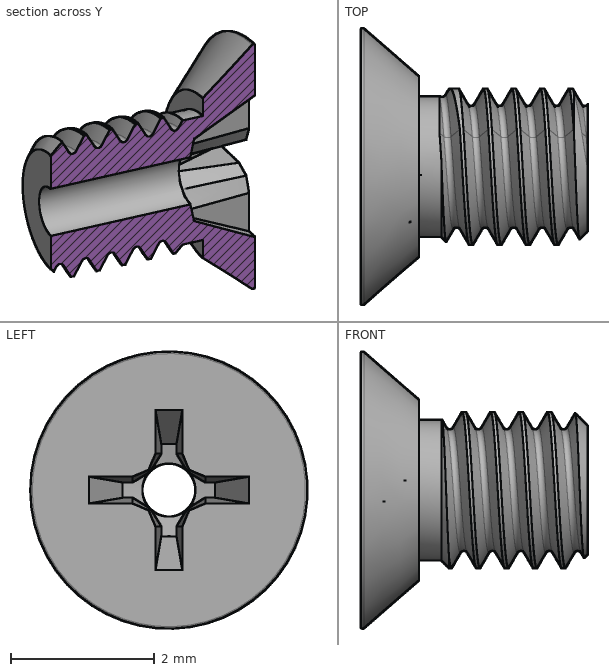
import cadquery as cq
import math


INCH = 25.4

overall_length = 3.17
bore_radius = 0.368

head_radius = 1.935
head_height = 0.815
head_cone_angle = math.radians(82 / 2)
rim_fillet = 0.03

neck_radius = 0.983
thread_start = 1.125
thread_diameter = 0.086 * INCH
thread_radius = thread_diameter / 2
end_face_radius = 0.898

threads_per_inch = 64
pitch = INCH / threads_per_inch
sharp_height = pitch * math.sqrt(3) / 2
groove_width = pitch * 7 / 8
root_round = sharp_height / 6
flank_half_angle = math.radians(30)
groove_overshoot = 0.04

helix_start_x = 1.211
helix_start_angle = math.radians(61.5)
lead_in_turn = 0.4
lead_in_rise_per_turn = 0.70

recess_depth = 0.944
face_arm_reach = 1.1146
face_arm_half_width = 0.187
face_corner = 0.282
floor_arm_reach = 0.6435
floor_arm_half_width = 0.106
floor_corner = 0.26
arm_root_reach = 0.51
floor_tilt = math.radians(12)


def make_blank():
    """Revolved screw body without recess or thread grooves."""
    fillet_center_r = head_radius - rim_fillet
    cone_start_x = rim_fillet * (1 + math.sin(head_cone_angle))
    cone_start_r = fillet_center_r + rim_fillet * math.cos(head_cone_angle)
    head_base_radius = cone_start_r - (head_height - cone_start_x) * math.tan(head_cone_angle)
    start_chamfer = thread_radius - neck_radius
    end_chamfer = thread_radius - end_face_radius
    return (
        cq.Workplane("XY")
        .moveTo(0, bore_radius)
        .lineTo(0, fillet_center_r)
        .threePointArc((rim_fillet, head_radius), (cone_start_x, cone_start_r))
        .lineTo(head_height, head_base_radius)
        .lineTo(head_height, neck_radius)
        .lineTo(thread_start, neck_radius)
        .lineTo(thread_start + start_chamfer, thread_radius)
        .lineTo(overall_length - end_chamfer, thread_radius)
        .lineTo(overall_length, end_face_radius)
        .lineTo(overall_length, bore_radius)
        .close()
        .revolve(360, (0, 0, 0), (1, 0, 0))
    )


def groove_profile():
    """Groove section in the local XZ plane: X is the radius, Z runs along the screw axis."""
    outer_half_width = groove_width / 2 + groove_overshoot * math.tan(flank_half_angle)
    outer_radius = thread_radius + groove_overshoot
    sharp_root = thread_radius - groove_width / 2 / math.tan(flank_half_angle)
    round_center = sharp_root + root_round / math.sin(flank_half_angle)
    tangent_radius = round_center - root_round * math.sin(flank_half_angle)
    tangent_half_width = root_round * math.cos(flank_half_angle)
    return (
        cq.Workplane("XZ")
        .moveTo(outer_radius, -outer_half_width)
        .lineTo(tangent_radius, -tangent_half_width)
        .threePointArc((round_center - root_round, 0), (tangent_radius, tangent_half_width))
        .lineTo(outer_radius, outer_half_width)
        .close()
    )


def make_groove(turns, rise_per_turn=0):
    """Groove cutter swept up a right-hand helix around local Z, moving outward by the given rise."""
    if rise_per_turn:
        slope_pitch = math.hypot(pitch, rise_per_turn)
        cone_angle = math.degrees(math.atan2(rise_per_turn, pitch))
        helix = cq.Wire.makeHelix(slope_pitch, turns * slope_pitch, thread_radius, angle=cone_angle)
    else:
        helix = cq.Wire.makeHelix(pitch, turns * pitch, thread_radius)
    return groove_profile().sweep(cq.Workplane(helix), isFrenet=True)


def place_on_screw(groove):
    """Turn local Z to the screw axis and local X to the helix start direction."""
    start_direction = (0, math.cos(helix_start_angle), math.sin(helix_start_angle))
    plane = cq.Plane(origin=(helix_start_x, 0, 0), xDir=start_direction, normal=(1, 0, 0))
    return cq.Workplane(groove.val().moved(cq.Location(plane)))


def cut_main_groove(body):
    """Cut the thread one turn at a time, until the groove has run out of the end face."""
    one_turn = place_on_screw(make_groove(1))
    turn_count = math.ceil((overall_length + groove_width / 2 - helix_start_x) / pitch)
    for turn in range(turn_count):
        body = body.cut(one_turn.translate((turn * pitch, 0, 0)))
    return body


def make_lead_in():
    """Conical continuation of the groove, running back toward the head and out of the part."""
    groove = make_groove(lead_in_turn, lead_in_rise_per_turn)
    return place_on_screw(groove.rotate((0, 0, 0), (1, 0, 0), 180))


def cross_outline(reach, half_width, corner):
    """Points of a four-armed cross with a bevelled inner corner between arms."""
    arm = [
        (arm_root_reach, -half_width),
        (reach, -half_width),
        (reach, half_width),
        (arm_root_reach, half_width),
        (corner, corner),
    ]
    points = []
    for quarter in range(4):
        cos_q = round(math.cos(quarter * math.pi / 2))
        sin_q = round(math.sin(quarter * math.pi / 2))
        points += [(u * cos_q - v * sin_q, u * sin_q + v * cos_q) for u, v in arm]
    return points


def make_recess():
    """Tapered cross whose floor is a shallow cone falling toward the bore."""
    floor_drop = (floor_arm_reach - bore_radius) * math.tan(floor_tilt)
    deepest = recess_depth + floor_drop
    stretch = deepest / recess_depth

    def at_deepest(face_size, floor_size):
        return face_size + (floor_size - face_size) * stretch

    cross = (
        cq.Workplane("YZ")
        .polyline(cross_outline(face_arm_reach, face_arm_half_width, face_corner))
        .close()
        .workplane(offset=deepest)
        .polyline(
            cross_outline(
                at_deepest(face_arm_reach, floor_arm_reach),
                at_deepest(face_arm_half_width, floor_arm_half_width),
                at_deepest(face_corner, floor_corner),
            )
        )
        .close()
        .loft(ruled=True)
    )
    clear_radius = face_arm_reach + face_arm_half_width
    clear_depth = recess_depth - (clear_radius - floor_arm_reach) * math.tan(floor_tilt)
    above_floor = (
        cq.Workplane("XY")
        .lineTo(0, clear_radius)
        .lineTo(clear_depth, clear_radius)
        .lineTo(deepest, bore_radius)
        .lineTo(deepest, 0)
        .close()
        .revolve(360, (0, 0, 0), (1, 0, 0))
    )
    return cross.intersect(above_floor)


result = make_blank()
result = result.cut(make_recess())
result = cut_main_groove(result)
result = result.cut(make_lead_in())